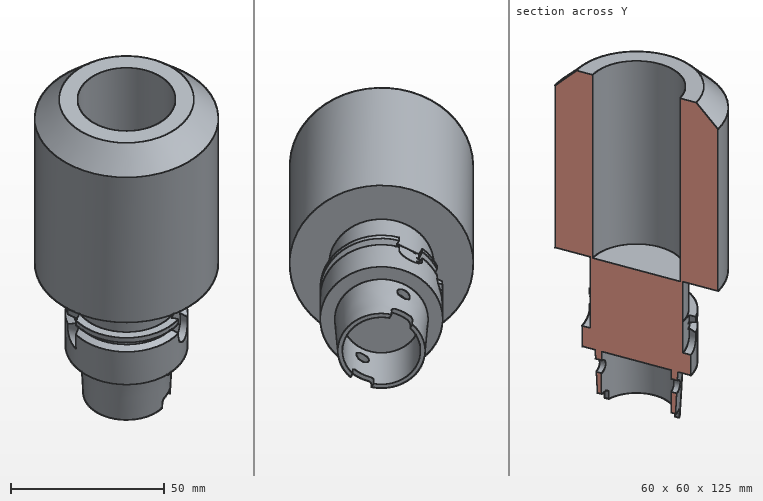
import cadquery as cq

shank_height = 20
shank_top_radius = 15.2
shank_end_radius = 14.2
shank_bore_radius = 12.8

flange_radius = 20
flange_top = 2 * shank_height
groove_radius = 17.5
groove_floor_bottom = 35
groove_floor_top = 37.0
groove_bevel_height = 1.0
lower_bevel_bottom = groove_floor_bottom - groove_bevel_height
upper_bevel_top = groove_floor_top + groove_bevel_height

neck_radius = 17.1
neck_top = 55
total_height = 125
body_radius = 30
body_chamfer = 8.0
bore_radius = 16.0
bore_depth = total_height - neck_top

slot_width = 8.8
slot_bottom = 28.0
slot_floor_x = 17.1
side_slot_floor_x = 11.9
side_slot_center_y = -16.1

notch_width = 7.8
notch_height = 3.8
notch_fillet = 1.2
cross_hole_radius = 2.4
cross_hole_height = 14.2


def turned_body():
    """Revolve the outer half profile about Z."""
    profile = [
        (0, 0),
        (shank_end_radius, 0),
        (shank_top_radius, shank_height),
        (flange_radius, shank_height),
        (flange_radius, lower_bevel_bottom),
        (groove_radius, groove_floor_bottom),
        (groove_radius, groove_floor_top),
        (flange_radius, upper_bevel_top),
        (flange_radius, flange_top),
        (neck_radius, flange_top),
        (neck_radius, neck_top),
        (body_radius, neck_top),
        (body_radius, total_height - body_chamfer),
        (body_radius - body_chamfer, total_height),
        (0, total_height),
    ]
    return cq.Workplane("XZ").polyline(profile).close().revolve(360, (0, 0), (0, 1))


def bore():
    """Blind bore from the top face to the level of the neck's top."""
    return cq.Workplane("XY", (0, 0, total_height)).circle(bore_radius).extrude(-bore_depth)


def shank_bore():
    """Bore that makes the shank hollow, over its full height."""
    return cq.Workplane("XY").circle(shank_bore_radius).extrude(shank_height)


def flange_slot(center_y, floor_x):
    """Slot running outward in -X from its floor, open at the flange top."""
    half_width = slot_width / 2
    arc_center_z = slot_bottom + half_width
    return (
        cq.Workplane("YZ", (-floor_x, 0, 0))
        .moveTo(center_y - half_width, flange_top)
        .lineTo(center_y - half_width, arc_center_z)
        .threePointArc((center_y, slot_bottom), (center_y + half_width, arc_center_z))
        .lineTo(center_y + half_width, flange_top)
        .close()
        .extrude(-flange_radius)
    )


def drive_notch():
    """Notch across the shank end, with rounded upper corners."""
    return (
        cq.Workplane("XY")
        .box(2 * flange_radius, notch_width, notch_height, centered=(True, True, False))
        .edges("|X and >Z")
        .fillet(notch_fillet)
    )


def cross_hole():
    """Round hole through the shank along X."""
    return (
        cq.Workplane("YZ")
        .center(0, cross_hole_height)
        .circle(cross_hole_radius)
        .extrude(flange_radius, both=True)
    )


left_slot = flange_slot(0, slot_floor_x)
right_slot = left_slot.mirror("YZ")
side_slot = flange_slot(side_slot_center_y, side_slot_floor_x)

result = turned_body().cut(bore()).cut(shank_bore())
for cutter in (left_slot, right_slot, side_slot, drive_notch(), cross_hole()):
    result = result.cut(cutter)